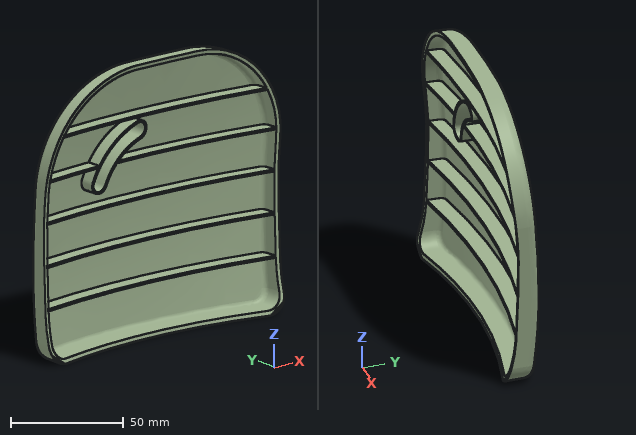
import cadquery as cq
import math

WIDTH = 136.8
HEIGHT = 130.9
TOP_RADIUS = 50.9
BOTTOM_RADIUS = 9.6
WALL = 2.2
DRAFT = 1.5
BACK_FILLET = 4.8
INNER_FILLET = BACK_FILLET - WALL

BACK_RADIUS = 451.4
BACK_DEPTH = 20.8
BACK_CREST_Z = 38.3
STATIONS = [
    (-5.5, 6.2, 10.5, 8.8),
    (0.0, 7.2, 9.6, 8.2),
    (9.6, 8.8, 7.5, 7.4),
    (27.4, 10.1, 6.3, 6.4),
    (50.6, 10.7, 6.0, 6.0),
    (80.7, 9.0, 5.5, 5.7),
    (106.7, 5.5, 5.2, 5.5),
    (HEIGHT, 0.8, 4.9, 5.2),
    (136.8, -0.4, 4.8, 5.0),
]
OVERRUN = 5.5
FRONT_CLEARANCE = 11.0

RIB_COUNT = 5
RIB_PITCH = 20.0
RIB_THICKNESS = 1.0
FIRST_RIB_Z = 25.3

SLOT_CENTRE_Z = FIRST_RIB_Z + RIB_PITCH * (RIB_COUNT - 1) / 2
SLOT_PATH_RADIUS = 35.0
SLOT_MID_ANGLE = 135.0
SLOT_HALF_ANGLE = 25.6
SLOT_RADIUS = 3.8
SLOT_WALL = 0.8


def back_y(z, inset):
    """Depth of the back centre line, moved inward by inset."""
    radius = BACK_RADIUS - inset
    return BACK_DEPTH - BACK_RADIUS + math.sqrt(radius**2 - (z - BACK_CREST_Z) ** 2)


def bowed_body(inset, front_shift):
    """Loft of crescent sections between the rim surface and the back surface."""
    side = WIDTH / 2 + OVERRUN
    sag_scale = (side / (WIDTH / 2)) ** 2
    sections = []
    for z, rim_y, rim_sag, back_sag in STATIONS:
        front = rim_y - front_shift
        front_side = front - rim_sag * sag_scale
        back = back_y(z, inset)
        back_side = back - back_sag * sag_scale
        section = (
            cq.Workplane("XY", origin=(0, 0, z))
            .moveTo(-side, front_side)
            .threePointArc((0, front), (side, front_side))
            .lineTo(side, back_side)
            .threePointArc((0, back), (-side, back_side))
            .close()
        )
        sections.append(section.val())
    return cq.Workplane(cq.Solid.makeLoft(sections))


def outline_prism(inset):
    """Drafted prism with a domed top and rounded bottom corners."""
    side = WIDTH / 2 - inset
    top = HEIGHT - inset
    top_radius = TOP_RADIUS - inset
    bottom_radius = BOTTOM_RADIUS - inset
    diagonal = 1 - math.sqrt(0.5)
    top_cut = top_radius * diagonal
    bottom_cut = bottom_radius * diagonal
    return (
        cq.Workplane("XZ")
        .moveTo(-side + bottom_radius, inset)
        .lineTo(side - bottom_radius, inset)
        .threePointArc((side - bottom_cut, inset + bottom_cut), (side, inset + bottom_radius))
        .lineTo(side, top - top_radius)
        .threePointArc((side - top_cut, top - top_cut), (side - top_radius, top))
        .lineTo(-side + top_radius, top)
        .threePointArc((-side + top_cut, top - top_cut), (-side, top - top_radius))
        .lineTo(-side, inset + bottom_radius)
        .threePointArc((-side + bottom_cut, inset + bottom_cut), (-side + bottom_radius, inset))
        .close()
        .extrude(-BACK_DEPTH - OVERRUN, taper=DRAFT)
    )


def slot_prism(radius):
    """Arc-shaped slot with round ends, running through the depth of the part."""
    def polar(distance, angle):
        a = math.radians(angle)
        return (distance * math.cos(a), SLOT_CENTRE_Z + distance * math.sin(a))

    start = SLOT_MID_ANGLE - SLOT_HALF_ANGLE
    end = SLOT_MID_ANGLE + SLOT_HALF_ANGLE
    outer = SLOT_PATH_RADIUS + radius
    inner = SLOT_PATH_RADIUS - radius
    return (
        cq.Workplane("XZ")
        .moveTo(*polar(outer, start))
        .threePointArc(polar(outer, SLOT_MID_ANGLE), polar(outer, end))
        .tangentArcPoint(polar(inner, end), relative=False)
        .threePointArc(polar(inner, SLOT_MID_ANGLE), polar(inner, start))
        .tangentArcPoint(polar(outer, start), relative=False)
        .close()
        .extrude(-BACK_DEPTH - OVERRUN)
    )


def ribs():
    """Evenly spaced thin horizontal plates across the full width."""
    plates = cq.Workplane("XY")
    for i in range(RIB_COUNT):
        z = FIRST_RIB_Z + i * RIB_PITCH
        plate = cq.Workplane("XY").box(WIDTH, 2 * BACK_DEPTH, RIB_THICKNESS)
        plates = plates.add(plate.translate((0, BACK_DEPTH, z)))
    return plates.combine()


envelope = bowed_body(0, 0).intersect(outline_prism(0))
outer_body = envelope.faces(">Y").edges().fillet(BACK_FILLET)

cavity = bowed_body(WALL, FRONT_CLEARANCE).intersect(outline_prism(WALL))
cavity = cavity.faces(">Y").edges().fillet(INNER_FILLET)

inserts = ribs().union(slot_prism(SLOT_RADIUS + SLOT_WALL))
result = outer_body.cut(cavity.cut(inserts)).cut(slot_prism(SLOT_RADIUS))